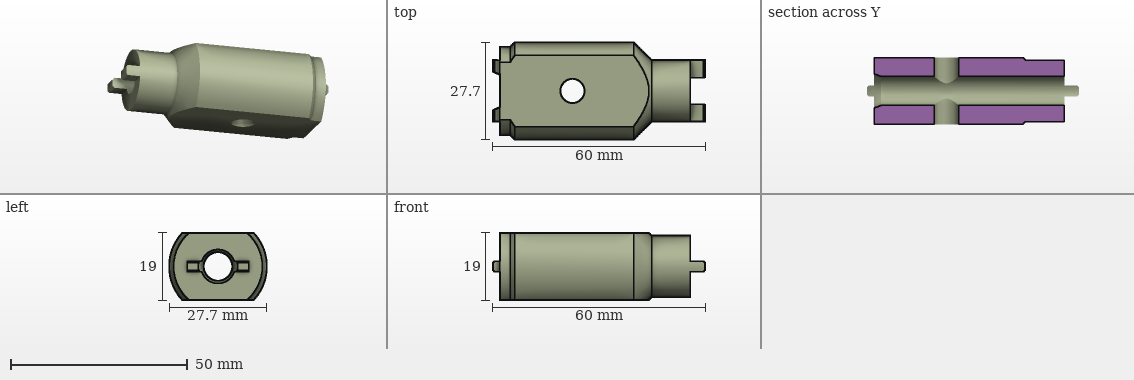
import cadquery as cq

total_length = 60.0
front_tab_length = 2.0
rear_tab_length = 4.15
front_face_x = front_tab_length
neck_end_x = total_length - rear_tab_length

barrel_radius = 13.85
collar_radius = 12.55
neck_radius = 8.75
collar_length = 2.95
barrel_end_x = 39.8
collar_end_x = front_face_x + collar_length
barrel_start_x = collar_end_x + barrel_radius - collar_radius
neck_start_x = barrel_end_x + barrel_radius - neck_radius

flat_thickness = 19.0

slab_width = 2.2 * barrel_radius
blade_width = 2 * barrel_radius

tab_thickness = 3.0
tab_chamfer = 0.5

bore_radius = 4.0
mouth_tip_radius = 5.6
mouth_depth = 4.0

cross_hole_diameter = 6.8
cross_hole_x = 22.5


def turned_blank():
    """Revolve the stepped half profile, with neck-sized stubs where the tabs will be."""
    return (
        cq.Workplane("XZ")
        .lineTo(0, neck_radius)
        .lineTo(front_face_x, neck_radius)
        .lineTo(front_face_x, collar_radius)
        .lineTo(collar_end_x, collar_radius)
        .lineTo(barrel_start_x, barrel_radius)
        .lineTo(barrel_end_x, barrel_radius)
        .lineTo(neck_start_x, neck_radius)
        .lineTo(total_length, neck_radius)
        .lineTo(total_length, 0)
        .close()
        .revolve(360, (0, 0, 0), (1, 0, 0))
    )


def flat_slab():
    """Slab between the two flats, ending at the front face and the neck end."""
    return (
        cq.Workplane("XY")
        .box(neck_end_x - front_face_x, slab_width, flat_thickness)
        .translate(((front_face_x + neck_end_x) / 2, 0, 0))
    )


def tab_blade():
    """Full-length blade with chamfered ends, which leaves the tabs outside the slab."""
    return (
        cq.Workplane("XY")
        .box(total_length, blade_width, tab_thickness)
        .edges("|Y")
        .chamfer(tab_chamfer)
        .translate((total_length / 2, 0, 0))
    )


def stepped_bore():
    """Through bore with its tapered front mouth, as one cutter."""
    return (
        cq.Workplane("XZ")
        .lineTo(0, mouth_tip_radius)
        .lineTo(mouth_depth, bore_radius)
        .lineTo(total_length, bore_radius)
        .lineTo(total_length, 0)
        .close()
        .revolve(360, (0, 0, 0), (1, 0, 0))
    )


def cross_hole():
    """Vertical hole cutter through both flats."""
    return (
        cq.Workplane("XY")
        .center(cross_hole_x, 0)
        .circle(cross_hole_diameter / 2)
        .extrude(flat_thickness / 2, both=True)
    )


body = turned_blank().intersect(flat_slab().union(tab_blade()))
result = body.cut(stepped_bore()).cut(cross_hole())